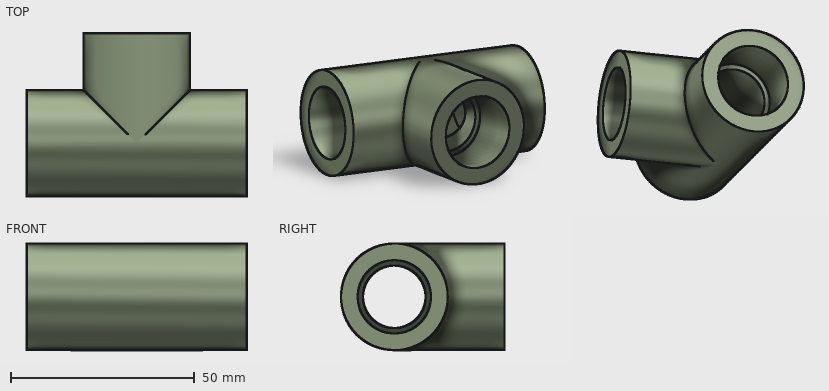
import cadquery as cq

run_length = 60.0
outer_diameter = 29.1
bore_diameter = 17.0
socket_diameter = 20.0
socket_depth = 16.0

reach = run_length / 2


def end_plane(direction):
    """Plane at the centre of the tee, facing one open end."""
    return cq.Plane(origin=(0, 0, 0), xDir=(0, 0, 1), normal=direction)


def arm_cylinder(direction, diameter, start=0.0):
    """Cylinder along one arm, from a distance off the centre to the open end."""
    return (
        cq.Workplane(end_plane(direction))
        .workplane(offset=start)
        .circle(diameter / 2)
        .extrude(reach - start)
    )


left, right, branch = (-1, 0, 0), (1, 0, 0), (0, 1, 0)

run = cq.Workplane("YZ").circle(outer_diameter / 2).extrude(reach, both=True)
result = run.union(arm_cylinder(branch, outer_diameter))

for direction in (left, right, branch):
    result = result.cut(arm_cylinder(direction, bore_diameter))
    result = result.cut(arm_cylinder(direction, socket_diameter, reach - socket_depth))